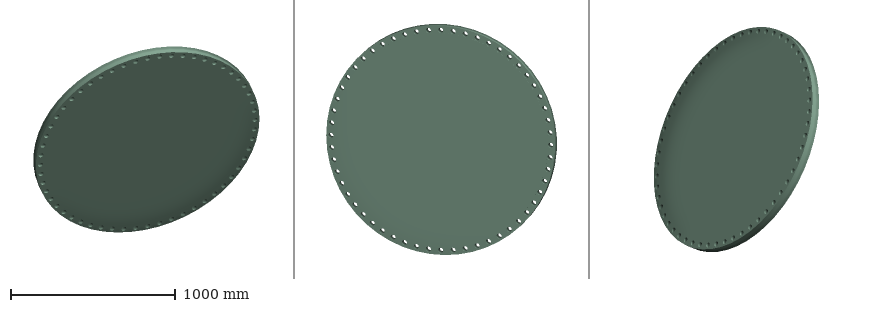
import cadquery as cq

outer_diameter = 1422.0
total_thickness = 55.0
face_diameter = 1333.0
face_height = 1.0
bolt_circle_diameter = 1365.0
bolt_hole_diameter = 31.0
bolt_hole_count = 56

disc_thickness = total_thickness - face_height


def make_disc():
    """Plain disc, from the step of the sealing face to the back."""
    step_plane = cq.Workplane("YZ").workplane(offset=face_height)
    return step_plane.circle(outer_diameter / 2).extrude(disc_thickness)


def make_sealing_face():
    """Low round land; it runs through the disc so that the two join cleanly."""
    return cq.Workplane("YZ").circle(face_diameter / 2).extrude(total_thickness)


def make_bolt_holes():
    """Ring of through holes, the first one on the Y axis."""
    return (
        cq.Workplane("YZ")
        .polarArray(bolt_circle_diameter / 2, 0, 360, bolt_hole_count)
        .circle(bolt_hole_diameter / 2)
        .extrude(total_thickness)
    )


result = make_disc().union(make_sealing_face()).cut(make_bolt_holes())